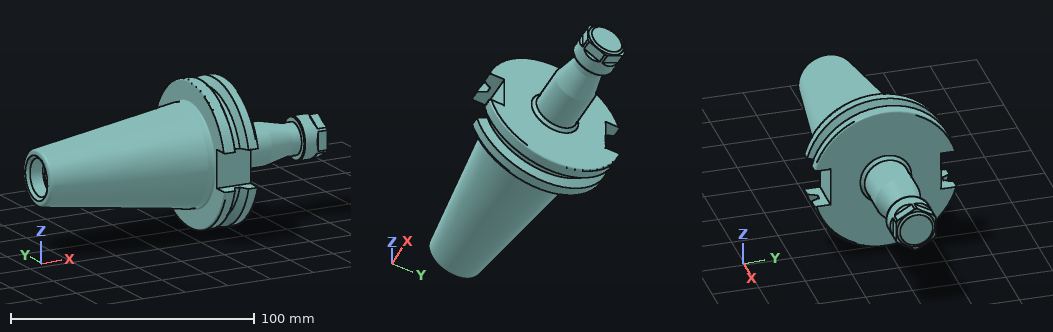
import cadquery as cq

total_length = 132.2
gauge_x = 68.4
flange_x = 71.5
flange_width = 15.9
shank_cone_x = 105.0
neck_x = 116.1
nut_x = 120.2
nut_end_x = 131.5

gauge_radius = 44.4 / 2
taper_slope = 7 / 48
nose_fillet = 1.5
flange_root_fillet = 0.8

flange_radius = 63.3 / 2
flange_fillet = 0.8
groove_width = 6.3
groove_bottom_width = 2.4
groove_depth = 3.7
slot_width = 16.7
slot_floor_y = 23.7

shank_radius = 19.0 / 2
shank_root_chamfer = 1.5
shank_cone_fillet = 2.0
neck_radius = 14.0 / 2
nut_radius = 19.0 / 2
nut_back_chamfer = 0.4
collet_base_radius = 16.3 / 2
collet_tip_radius = 14.0 / 2
across_flats = 17.0
flats_x = 127.2
flat_count = 6

bore_mouth_radius = 19.0 / 2
counterbore_radius = 16.3 / 2
bore_radius = 13.4 / 2
counterbore_depth = 7.4
bore_depth = 31.7

cut_clearance = 1.3

flange_end_x = flange_x + flange_width


def revolved(outline):
    """Turn a closed half outline, drawn as (x, radius), about the X axis."""
    return outline.close().revolve(360, (0, 0, 0), (1, 0, 0))


def taper():
    small_radius = gauge_radius - gauge_x * taper_slope
    root_x = flange_x - flange_root_fillet
    cone = revolved(
        cq.Workplane("XY")
        .lineTo(0, small_radius)
        .lineTo(gauge_x, gauge_radius)
        .lineTo(gauge_x, 0)
    )
    cone = cone.faces("<X").edges().fillet(nose_fillet)
    collar = revolved(
        cq.Workplane("XY")
        .moveTo(gauge_x, 0)
        .lineTo(gauge_x, gauge_radius)
        .lineTo(root_x, gauge_radius)
        .radiusArc((flange_x, gauge_radius + flange_root_fillet), -flange_root_fillet)
        .lineTo(flange_x, 0)
    )
    return cone.union(collar)


def groove():
    """Ring with a flat-bottomed V section, centred on the flange width."""
    centre_x = flange_x + flange_width / 2
    bottom = flange_radius - groove_depth
    top = flange_radius + cut_clearance
    bottom_half = groove_bottom_width / 2
    rim_half = groove_width / 2
    top_half = bottom_half + (rim_half - bottom_half) * (top - bottom) / groove_depth
    return revolved(
        cq.Workplane("XY")
        .moveTo(centre_x - top_half, top)
        .lineTo(centre_x - bottom_half, bottom)
        .lineTo(centre_x + bottom_half, bottom)
        .lineTo(centre_x + top_half, top)
    )


def flange():
    disc = cq.Workplane("YZ", origin=(flange_x, 0, 0)).circle(flange_radius).extrude(flange_width)
    disc = disc.faces("<X or >X").edges().fillet(flange_fillet).cut(groove())
    for side in (-1, 1):
        slot = cq.Workplane("XY").box(flange_width, flange_radius, slot_width)
        slot_y = side * (slot_floor_y + flange_radius / 2)
        disc = disc.cut(slot.translate((flange_x + flange_width / 2, slot_y, 0)))
    return disc


def shank():
    body = revolved(
        cq.Workplane("XY")
        .moveTo(flange_end_x, 0)
        .lineTo(flange_end_x, shank_radius + shank_root_chamfer)
        .lineTo(flange_end_x + shank_root_chamfer, shank_radius)
        .lineTo(shank_cone_x, shank_radius)
        .lineTo(neck_x, neck_radius)
        .lineTo(nut_x, neck_radius)
        .lineTo(nut_x, 0)
    )
    cone_start = cq.selectors.NearestToPointSelector((shank_cone_x, 0, 0))
    return body.edges(cone_start).fillet(shank_cone_fillet)


def nut():
    body = cq.Workplane("YZ", origin=(nut_x, 0, 0)).circle(nut_radius).extrude(nut_end_x - nut_x)
    body = body.faces("<X").edges().chamfer(nut_back_chamfer)
    flat_y = across_flats / 2
    reach = nut_radius - flat_y + cut_clearance
    flat_cut = (
        cq.Workplane("XY")
        .moveTo(flats_x, flat_y)
        .lineTo(flats_x - reach, flat_y + reach)
        .lineTo(nut_end_x, flat_y + reach)
        .lineTo(nut_end_x, flat_y)
        .close()
        .extrude(nut_radius, both=True)
    )
    for index in range(flat_count):
        body = body.cut(flat_cut.rotate((0, 0, 0), (1, 0, 0), index * 360 / flat_count))
    collet = revolved(
        cq.Workplane("XY")
        .moveTo(nut_end_x, 0)
        .lineTo(nut_end_x, collet_base_radius)
        .lineTo(total_length, collet_tip_radius)
        .lineTo(total_length, 0)
    )
    return body.union(collet)


def bore():
    mouth_depth = bore_mouth_radius - counterbore_radius
    return revolved(
        cq.Workplane("XY")
        .lineTo(0, bore_mouth_radius)
        .lineTo(mouth_depth, counterbore_radius)
        .lineTo(counterbore_depth, counterbore_radius)
        .lineTo(counterbore_depth, bore_radius)
        .lineTo(bore_depth, bore_radius)
        .lineTo(bore_depth, 0)
    )


result = taper().union(flange()).union(shank()).union(nut()).cut(bore())